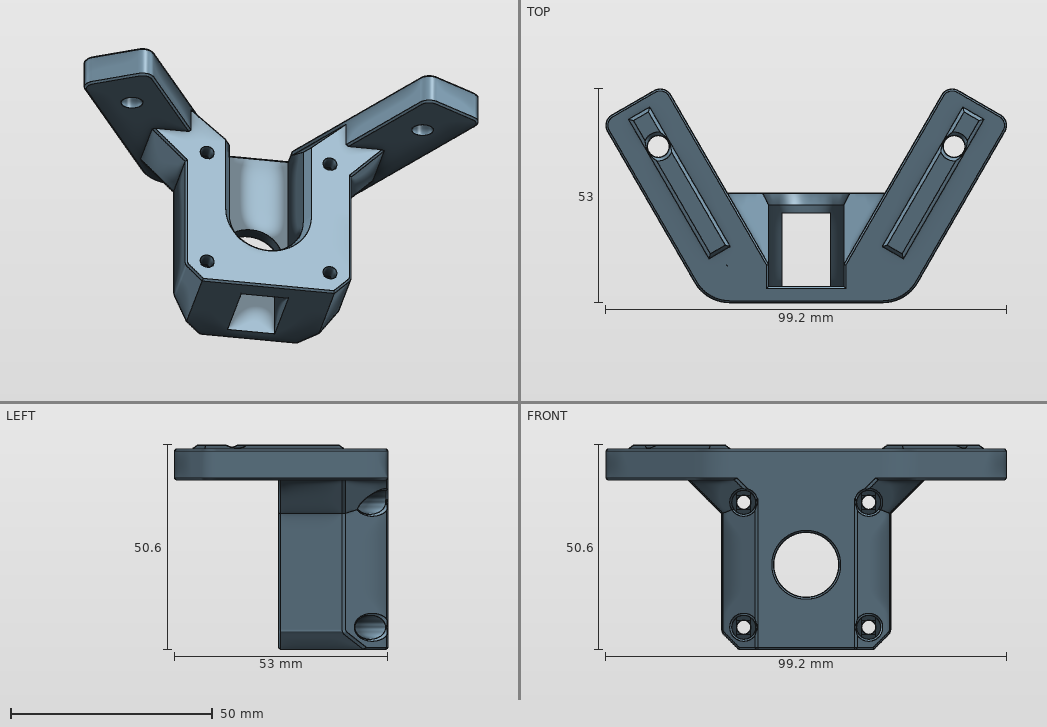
import cadquery as cq
import math

plate_bottom = 42.0
plate_thickness = 7.7
plate_top = plate_bottom + plate_thickness
edge_break = 0.5

body_half_width = 20.9
body_depth = 27.2
bottom_bevel = 4.3
bevel_rounding = 1.8
front_half_width = 12.4
corner_depth = 10.9
axis_height = plate_bottom / 2

gusset_drop = 8.3
gusset_front_half_width = 17.4

arm_angle = 60.0
arm_root_x = 24.7
arm_width = 18.1
arm_length = 52.0
elbow_radius = 10.0
tip_radius = 3.0

rail_start = 9.1
rail_length = 39.9
rail_width = 6.1
rail_height = 0.9
rail_taper = 45.0
arm_hole_distance = 39.5
arm_hole_diameter = 5.4
countersink_diameter = arm_hole_diameter + 2 * rail_height

front_wall = 4.1
shaft_hole_diameter = 16.1
bore_radius = 9.3
lip_radius = 10.8
lip_depth = 3.0
slot_half_width = 6.0
slot_end = 22.2

web_setback = 1.5
slope_run = 11.9

screw_offset = 15.5
screw_levels = (axis_height - screw_offset, axis_height + screw_offset)
screw_diameter = 3.5
screw_head_diameter = 6.0
screw_seat_y = 21.8
floor_step = 0.3

arm_cos = math.cos(math.radians(arm_angle))
arm_sin = math.sin(math.radians(arm_angle))


def arm_point(along, inward):
    """Plan position on the right arm, from the outer corner of its root."""
    x = arm_root_x + along * arm_cos - inward * arm_sin
    return x, along * arm_sin + inward * arm_cos


def y_cone(diameter, x, z):
    """Lead-in at the front face that narrows to the given diameter."""
    return (
        cq.Workplane("XZ", origin=(x, 0, z))
        .circle(diameter / 2 + edge_break)
        .workplane(offset=-edge_break)
        .circle(diameter / 2)
        .loft()
    )


def upright_edge_at(x, y):
    """Selector for the vertical edge of the plate that stands at a plan position."""
    middle = plate_bottom + plate_thickness / 2
    low = (x - edge_break, y - edge_break, middle - edge_break)
    high = (x + edge_break, y + edge_break, middle + edge_break)
    return cq.selectors.BoxSelector(low, high)


def y_cylinder(diameter, y_start, y_end, x, z):
    """Cylinder along Y between two depths."""
    return cq.Workplane("XZ", origin=(x, y_start, z)).circle(diameter / 2).extrude(y_start - y_end)


def both_sides(solid):
    """The solid together with its mirror image on the other side of the part."""
    return solid.union(solid.mirror("YZ"))


def make_body():
    """Upright body with cut front corners and bevelled, rounded lower sides."""
    plan = (
        cq.Workplane("XY")
        .polyline([
            (-front_half_width, 0),
            (front_half_width, 0),
            (body_half_width, corner_depth),
            (body_half_width, body_depth),
            (-body_half_width, body_depth),
            (-body_half_width, corner_depth),
        ])
        .close()
        .extrude(plate_bottom)
    )
    bottom_half_width = body_half_width - bottom_bevel
    elevation = (
        cq.Workplane("XZ")
        .polyline([
            (-bottom_half_width, 0),
            (bottom_half_width, 0),
            (body_half_width, bottom_bevel),
            (body_half_width, plate_bottom),
            (-body_half_width, plate_bottom),
            (-body_half_width, bottom_bevel),
        ])
        .close()
        .extrude(-body_depth)
    )
    side_edges = elevation.edges("|Y").edges("<X or >X")
    elevation = side_edges.edges("<Z").fillet(bevel_rounding)
    body = plan.intersect(elevation)
    return body.edges("not (>Z or |Y)").chamfer(edge_break)


def gusset_outline(rise):
    """Plan outline at a height above the underside of the plate."""
    front = gusset_front_half_width + rise
    side = body_half_width + gusset_drop + rise
    return [(0, 0), (front, 0), (side, corner_depth), (side, body_depth), (0, body_depth)]


def make_gussets():
    """Gussets that reach into the front edge of the plate and stop at its underside behind it."""
    gusset = (
        cq.Workplane("XY", origin=(0, 0, plate_bottom - gusset_drop))
        .polyline(gusset_outline(-gusset_drop))
        .close()
        .workplane(offset=gusset_drop + edge_break)
        .polyline(gusset_outline(edge_break))
        .close()
        .loft(ruled=True)
    )
    gussets = both_sides(gusset).edges("not(<Z or >Z)").chamfer(edge_break)
    behind_front_wall = (
        cq.Workplane("XY", origin=(0, front_wall, plate_bottom))
        .box(4 * body_half_width, body_depth, plate_thickness, centered=(True, False, False))
    )
    return gussets.cut(behind_front_wall)


def pocket_corner():
    """Point where the inner side of the right arm meets the pocket wall."""
    x, y = arm_point(0, arm_width)
    return bore_radius, y + (bore_radius - x) * arm_sin / arm_cos


def make_plate():
    half = (
        cq.Workplane("XY", origin=(0, 0, plate_bottom))
        .polyline([
            (0, 0),
            arm_point(0, 0),
            arm_point(arm_length, 0),
            arm_point(arm_length, arm_width),
            pocket_corner(),
            (bore_radius, front_wall),
            (0, front_wall),
        ])
        .close()
        .extrude(plate_thickness)
    )
    half = half.edges(upright_edge_at(*arm_point(0, 0))).fillet(elbow_radius)
    half = half.edges(upright_edge_at(*arm_point(arm_length, 0))).fillet(tip_radius)
    half = half.edges(upright_edge_at(*arm_point(arm_length, arm_width))).fillet(tip_radius)
    return both_sides(half).clean().faces("<Z or >Z").edges().chamfer(edge_break)


def make_rails():
    """Guide rails with 45 degree flanks along the middle of the arms."""
    centre = arm_point(rail_start + rail_length / 2, arm_width / 2)
    rail = (
        cq.Workplane("XY")
        .rect(rail_length, rail_width)
        .extrude(rail_height, taper=rail_taper)
        .rotate((0, 0, 0), (0, 0, 1), arm_angle)
        .translate((*centre, plate_top))
    )
    return both_sides(rail)


def make_arm_holes():
    """Through holes in the arms, countersunk where they cross the rails."""
    x, y = arm_point(arm_hole_distance, arm_width / 2)
    hole = (
        cq.Workplane("XY", origin=(x, y, plate_bottom))
        .circle(arm_hole_diameter / 2)
        .extrude(plate_thickness + rail_height)
    )
    cone = (
        cq.Workplane("XY", origin=(x, y, plate_top))
        .circle(arm_hole_diameter / 2)
        .workplane(offset=rail_height)
        .circle(countersink_diameter / 2)
        .loft()
    )
    return both_sides(hole.union(cone))


def channel_outline(plane, radius):
    """Round-bottomed channel, open at the top of the plate."""
    rise = plate_top - axis_height
    return (
        plane.moveTo(-radius, rise)
        .lineTo(-radius, 0)
        .threePointArc((0, -radius), (radius, 0))
        .lineTo(radius, rise)
        .close()
    )


def make_cavity():
    """Shaft channel with a flared rear lip, the front shaft hole and the bottom slot."""
    channel_plane = cq.Workplane("XZ", origin=(0, front_wall, axis_height))
    channel = channel_outline(channel_plane, bore_radius).extrude(front_wall - body_depth)
    rear_plane = cq.Workplane("XZ", origin=(0, body_depth, axis_height))
    rear_outline = channel_outline(rear_plane, lip_radius)
    lip = channel_outline(rear_outline.workplane(offset=lip_depth), bore_radius).loft(ruled=True)
    shaft_hole = y_cylinder(shaft_hole_diameter, 0, front_wall, 0, axis_height)
    mouth = y_cone(shaft_hole_diameter, 0, axis_height)
    slot = (
        cq.Workplane("XY", origin=(0, front_wall, 0))
        .box(2 * slot_half_width, slot_end - front_wall, axis_height, centered=(True, False, False))
    )
    return channel.union(lip).union(shaft_hole).union(mouth).union(slot)


def make_webs():
    """Fillings between body and arms that fall at 45 degrees from the inner side of each arm."""
    web_top = plate_top - web_setback
    block = (
        cq.Workplane("XY", origin=(0, front_wall, plate_bottom))
        .box(body_half_width, body_depth - front_wall, web_top - plate_bottom, centered=False)
    )
    return both_sides(block)


def make_web_slopes():
    """Material to clear above the sloping faces of the webs."""
    plane = cq.Plane(
        origin=(*arm_point(0, arm_width), plate_top - web_setback),
        xDir=(-arm_sin, arm_cos, 0),
        normal=(arm_cos, arm_sin, 0),
    )
    slope = (
        cq.Workplane(plane)
        .polyline([(0, 0), (slope_run, -slope_run), (slope_run, web_setback), (0, web_setback)])
        .close()
        .extrude(arm_length)
    )
    limits = (
        cq.Workplane("XY", origin=(0, front_wall, 0))
        .box(body_half_width, body_depth, plate_top, centered=False)
    )
    return both_sides(slope.intersect(limits))


def make_screw_hole(x, z):
    """Head recess whose floor steps from a slot to a square, then to the round hole."""
    hole = y_cylinder(screw_diameter, 0, body_depth, x, z)
    head = y_cylinder(screw_head_diameter, 0, screw_seat_y, x, z)
    slot_depth = screw_seat_y + floor_step
    slot = (
        cq.Workplane("XZ", origin=(x, 0, z))
        .rect(screw_diameter, screw_head_diameter)
        .extrude(-slot_depth)
    )
    slot = slot.intersect(y_cylinder(screw_head_diameter, 0, slot_depth, x, z))
    square = (
        cq.Workplane("XZ", origin=(x, 0, z))
        .rect(screw_diameter, screw_diameter)
        .extrude(-slot_depth - floor_step)
    )
    return hole.union(head).union(slot).union(square)


def make_screw_mouth(z, plane_x, slope_x, slope_z):
    """Lead-in of a right-hand screw recess, sheared so that its rim lies on a slanted face.

    The face is y = slope_x * (x - plane_x) + slope_z * (z - plate_bottom).
    """
    rim_y = slope_x * (screw_offset - plane_x) + slope_z * (z - plate_bottom)
    shear = cq.Matrix([
        [1, 0, 0, screw_offset],
        [slope_x, 1, slope_z, rim_y],
        [0, 0, 1, z],
    ])
    cone = y_cone(screw_head_diameter, 0, 0)
    return cq.Workplane(cone.val().transformGeometry(shear))


def make_shell():
    """Body with gussets and screw holes, each recess with a lead-in on every face it opens to."""
    body = make_body()
    gussets = make_gussets()
    corner_slope = corner_depth / (body_half_width - front_half_width)
    gusset_slope = corner_depth / (body_half_width + gusset_drop - gusset_front_half_width)
    for z in screw_levels:
        body = body.cut(both_sides(make_screw_mouth(z, front_half_width, corner_slope, 0)))
    upper_level = screw_levels[-1]
    upper_mouth = make_screw_mouth(upper_level, gusset_front_half_width, gusset_slope, -gusset_slope)
    shell = body.union(gussets.cut(both_sides(upper_mouth)))
    for z in screw_levels:
        shell = shell.cut(both_sides(y_cone(screw_head_diameter, screw_offset, z)))
        shell = shell.cut(both_sides(make_screw_hole(screw_offset, z)))
    return shell


result = make_shell().union(make_webs()).cut(make_web_slopes())
result = result.union(make_plate()).cut(make_cavity())
result = result.union(make_rails()).cut(make_arm_holes())